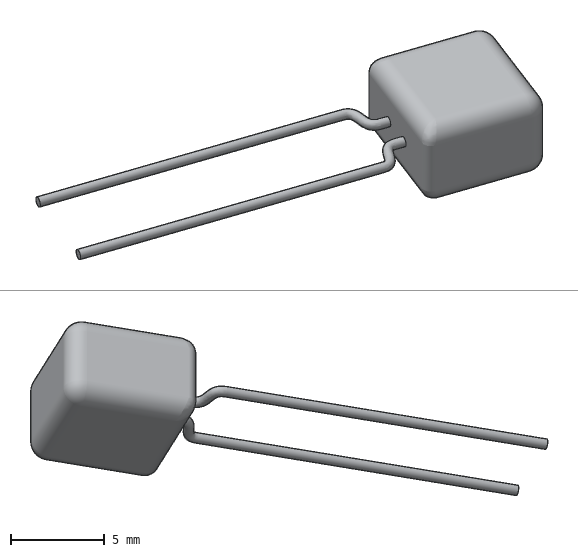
import cadquery as cq

TOTAL_LENGTH = 27.15

HOUSING_WIDTH = 7.63
HOUSING_DEPTH = 7.22
HOUSING_HEIGHT = 5.08
LARGE_RADIUS = 1.0
LEAD_SIDE_RADIUS = LARGE_RADIUS / 2

LEAD_DIAMETER = 0.57
ROOT_SPACING = 1.93
TIP_SPACING = 5.08
ROOT_STRAIGHT = 0.55
BEND_LENGTH = 1.4
BEND_HANDLE = 1.0

LEAD_LENGTH = TOTAL_LENGTH - HOUSING_DEPTH


def make_housing():
    """Rounded block with smaller radii on the upright edges beside the leads."""
    block = cq.Workplane("XY").box(
        HOUSING_WIDTH, HOUSING_DEPTH, HOUSING_HEIGHT, centered=(True, False, True)
    )
    block = block.edges("|Z and >Y").fillet(LARGE_RADIUS)
    block = block.edges("|Z and <Y").fillet(LEAD_SIDE_RADIUS)
    return block.faces("<Z or >Z").fillet(LARGE_RADIUS)


def make_lead(side):
    """Round wire that steps outward in a double bend; side is -1 or +1 along X."""
    root_x = ROOT_SPACING / 2
    tip_x = TIP_SPACING / 2
    bend_start_y = -ROOT_STRAIGHT
    bend_end_y = bend_start_y - BEND_LENGTH

    path = (
        cq.Workplane("XY")
        .moveTo(side * root_x, 0)
        .lineTo(side * root_x, bend_start_y)
        .bezier(
            [
                (side * root_x, bend_start_y - BEND_HANDLE),
                (side * tip_x, bend_end_y + BEND_HANDLE),
                (side * tip_x, bend_end_y),
            ],
            includeCurrent=True,
        )
        .lineTo(side * tip_x, -LEAD_LENGTH)
    )
    section = cq.Workplane("XZ").center(side * root_x, 0).circle(LEAD_DIAMETER / 2)
    return section.sweep(path)


housing = make_housing()
leads = [make_lead(side) for side in (-1, 1)]

result = cq.Compound.makeCompound([housing.val(), *[lead.val() for lead in leads]])